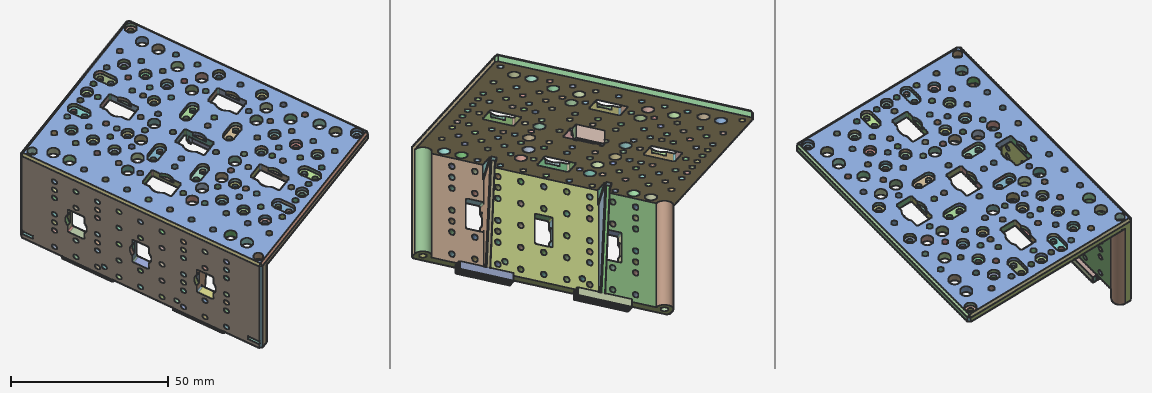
import cadquery as cq
import math

LENGTH = 90.0
DEPTH = 66.0
HEIGHT = 44.0
THICKNESS = 3.0
EDGE_CHAMFER = 0.8
OVERLAP = 0.9

HALF_PITCH = 8.0 / 2
SMALL_HOLE = 2.0
LARGE_HOLE = 4.0
BORE_DIAMETER = 4.0
BORE_DEPTH = THICKNESS / 2

WINDOW_LENGTH = 11.0
WINDOW_WIDTH = 6.2
WINDOW_CORNER = 0.5
RECESS_DIAMETER = 8.0

TONGUE_LENGTH = 19.2
TONGUE_HEIGHT = 3.1
TONGUE_CENTRE_X = 20.6
TONGUE_FRONT = 1.3
TONGUE_BACK = 4.6
TONGUE_CHAMFER = 0.3

CORNER_INSET = 2.9
COLUMN_RADIUS = CORNER_INSET
COLUMN_HOLE = 2.4
COLUMN_BORE = 3.1
NUT_WIDTH = 4.1
NUT_HEIGHT = 1.35
NUT_ABOVE_WALL_FOOT = 2.6

RIB_CENTRE_X = 5 * HALF_PITCH
RIB_THICKNESS = 1.8
RIB_TOP_REACH = 9.1
RIB_TOP_BEVEL = 0.8
RIB_EDGE_CHAMFER = 0.4
ROOT_THICKNESS = 2.5
ROOT_REACH = 8.2

CLIP_WIDTH = 10.0
CLIP_WALL = 1.0
CLIP_DEPTH = 3.0
CLIP_DROP = 4.9
CLIP_STRAIGHT = 1.8
CLIP_FOOT_SETBACK = 1.3

FRONT = -DEPTH / 2
WALL_BACK = FRONT + THICKNESS
WALL_FOOT = -HEIGHT + TONGUE_HEIGHT
WALL_GRID_Z = -HEIGHT / 2
CORNER_X = LENGTH / 2 - CORNER_INSET
CORNER_Y = DEPTH / 2 - CORNER_INSET

PLATE_ROWS = {
    7: (0, 2, 4, 6),
    5: (2, 4, 6, 8, 10),
    4: (5, 7, 9),
    3: (0, 2, 4, 6, 8, 10),
    2: (0, 2, 5, 6, 7, 9, 10),
    1: (4, 10),
    0: (2, 5, 9, 10),
}
BORED_ROWS = {4: (5, 7, 9), 2: (5,), 0: (10,)}
BACK_BORED_COLUMN, BACK_BORED_ROW = 2, 7

WALL_ROWS = {
    4: (0, 2, 4, 6, 8),
    3: (4, 8),
    2: (0, 2, 4, 6, 8),
    0: (2, 4, 8),
    -1: (4, 8),
    -2: (0, 2, 4, 6, 8),
    -4: (0, 2, 4, 6, 8),
}
EXTRA_WALL_HOLE = (13.5, -14.5)

LARGE_STEP = 6.0
LARGE_CORNER_X = 9 * HALF_PITCH
LARGE_CORNER_Y = 27.1
LARGE_INNER_X = 3 * HALF_PITCH
LARGE_BACK_Y = 24.1
LARGE_FRONT_Y = -15.0
LARGE_SIDE_X = 15.0
LARGE_OUTER_X = 21.1
LARGE_HOLE_POINTS = [
    (LARGE_CORNER_X, LARGE_CORNER_Y),
    (LARGE_CORNER_X - LARGE_STEP, LARGE_CORNER_Y),
    (LARGE_CORNER_X, -LARGE_CORNER_Y),
    (LARGE_CORNER_X - LARGE_STEP, -LARGE_CORNER_Y),
    (LARGE_INNER_X, LARGE_BACK_Y),
    (LARGE_INNER_X, LARGE_BACK_Y - LARGE_STEP),
    (LARGE_INNER_X, LARGE_FRONT_Y),
    (LARGE_INNER_X, LARGE_FRONT_Y - LARGE_STEP),
    (LARGE_OUTER_X, LARGE_BACK_Y),
    (LARGE_SIDE_X, 0),
    (LARGE_SIDE_X, -2 * HALF_PITCH),
]


def mirrored(points, signs=((1, 1), (-1, 1))):
    """Every point with each pair of signs, without repeating points that lie on an axis."""
    return sorted({(sx * x + 0.0, sy * y + 0.0) for x, y in points for sx, sy in signs})


def grid_points(rows):
    return [(column * HALF_PITCH, row * HALF_PITCH) for row, columns in rows.items() for column in columns]


def four_way(points):
    return mirrored(points, ((1, 1), (-1, 1), (1, -1), (-1, -1)))


def from_top():
    """Sketch plane on the plate's top face; extrusions with a negative length go down."""
    return cq.Workplane("XY")


def from_front():
    """Sketch plane on the wall's outer face, centred on its grid; negative lengths go inward."""
    return cq.Workplane("XZ", origin=(0, FRONT, WALL_GRID_Z))


def window_cutter(plane, points, size, corner_edges):
    """Through windows of the given size, each with its round recess in the outer face."""
    windows = plane().pushPoints(points).rect(*size).extrude(-(THICKNESS + OVERLAP))
    windows = windows.edges(corner_edges).fillet(WINDOW_CORNER)
    recesses = plane().pushPoints(points).circle(RECESS_DIAMETER / 2).extrude(-BORE_DEPTH)
    return windows.union(recesses)


def side_profile(points, width, centre_x):
    """Prism of a (Y, Z) outline, centred on centre_x."""
    return cq.Workplane("YZ", origin=(centre_x, 0, 0)).polyline(points).close().extrude(width / 2, both=True)


def shell():
    """Plate and wall with chamfered outer edges."""
    block = from_top().rect(LENGTH, DEPTH).extrude(WALL_FOOT)
    block = block.edges("|Z or >Z").chamfer(EDGE_CHAMFER)
    hollow = cq.Workplane("XY").box(LENGTH + 2 * OVERLAP, DEPTH, -WALL_FOOT, centered=(True, False, False))
    return block.cut(hollow.translate((0, WALL_BACK, WALL_FOOT - THICKNESS)))


def columns():
    """Round columns behind the wall's ends, rooted inside the plate."""
    root = from_top().workplane(offset=-THICKNESS / 2)
    circles = root.pushPoints(mirrored([(CORNER_X, -CORNER_Y)])).circle(COLUMN_RADIUS)
    return circles.extrude(WALL_FOOT + THICKNESS / 2)


def rib_root(centre_x):
    """Thicker 45-degree web at the top of a rib, between the plate and the wall."""
    embedded_y = FRONT + THICKNESS / 2
    tip_y = FRONT + ROOT_REACH
    low_z = -THICKNESS - (tip_y - embedded_y)
    outline = [(embedded_y, -THICKNESS), (tip_y, -THICKNESS), (embedded_y, low_z)]
    return side_profile(outline, ROOT_THICKNESS, centre_x)


def rib(centre_x):
    """Tapered rib from the plate down to the back of the tongue."""
    bevel_y = FRONT + RIB_TOP_REACH - RIB_TOP_BEVEL
    outline = [
        (WALL_BACK, -THICKNESS),
        (FRONT + RIB_TOP_REACH, -THICKNESS),
        (bevel_y, -THICKNESS - RIB_TOP_BEVEL),
        (FRONT + TONGUE_BACK, WALL_FOOT),
        (WALL_BACK, WALL_FOOT),
    ]
    body = side_profile(outline, RIB_THICKNESS, centre_x)
    taper_middle = (centre_x, (bevel_y + FRONT + TONGUE_BACK) / 2, (WALL_FOOT - THICKNESS) / 2)
    taper_face = body.faces(cq.selectors.NearestToPointSelector(taper_middle))
    return taper_face.edges("not |X").chamfer(RIB_EDGE_CHAMFER)


def tongue(centre_x):
    """Two leaves back to back, each with chamfered ends and foot."""
    leaf_thickness = (TONGUE_BACK - TONGUE_FRONT) / 2
    leaf = cq.Workplane("XY").box(TONGUE_LENGTH, leaf_thickness, TONGUE_HEIGHT, centered=(True, False, False))
    leaf = leaf.edges("|Z or <Z").chamfer(TONGUE_CHAMFER)
    front_leaf = leaf.translate((centre_x, FRONT + TONGUE_FRONT, -HEIGHT))
    return front_leaf.union(front_leaf.translate((0, leaf_thickness, 0)))


def clip():
    """Back wall with two ears whose front edges slope back towards the foot."""
    front_y = WINDOW_WIDTH / 2
    back_y = front_y + CLIP_DEPTH
    foot_z = -THICKNESS - CLIP_DROP
    outline = [
        (front_y, -THICKNESS),
        (back_y, -THICKNESS),
        (back_y, foot_z),
        (front_y + CLIP_FOOT_SETBACK, foot_z),
        (front_y, -THICKNESS - CLIP_STRAIGHT),
    ]
    channel_size = (CLIP_WIDTH - 2 * CLIP_WALL, CLIP_DEPTH - CLIP_WALL, CLIP_DROP)
    channel = cq.Workplane("XY").box(*channel_size, centered=(True, False, False))
    return side_profile(outline, CLIP_WIDTH, 0).cut(channel.translate((0, front_y, foot_z)))


def plate_cuts():
    through = -(THICKNESS + OVERLAP)
    bored = four_way(grid_points(BORED_ROWS))
    bored += mirrored([(BACK_BORED_COLUMN * HALF_PITCH, BACK_BORED_ROW * HALF_PITCH)])
    back_corners = mirrored([(CORNER_X, CORNER_Y)])
    small = four_way(grid_points(PLATE_ROWS)) + back_corners
    slot_length = BORE_DIAMETER + HALF_PITCH
    end_slots = four_way([(9.5 * HALF_PITCH, 2 * HALF_PITCH)])
    middle_slots = four_way([(2 * HALF_PITCH, 2.5 * HALF_PITCH)])
    windows = four_way([(0, 0), (0, 5 * HALF_PITCH), (7 * HALF_PITCH, 0)])
    return [
        from_top().pushPoints(small).circle(SMALL_HOLE / 2).extrude(through),
        from_top().pushPoints(mirrored(LARGE_HOLE_POINTS)).circle(LARGE_HOLE / 2).extrude(through),
        from_top().pushPoints(bored + back_corners).circle(BORE_DIAMETER / 2).extrude(-BORE_DEPTH),
        from_top().pushPoints(end_slots).slot2D(slot_length, BORE_DIAMETER).extrude(-BORE_DEPTH),
        from_top().pushPoints(middle_slots).slot2D(slot_length, BORE_DIAMETER, 90).extrude(-BORE_DEPTH),
        window_cutter(from_top, windows, (WINDOW_LENGTH, WINDOW_WIDTH), "|Z"),
    ]


def wall_cuts():
    holes = mirrored(grid_points(WALL_ROWS) + [EXTRA_WALL_HOLE])
    windows = mirrored([(0, 0), (6 * HALF_PITCH, 0)])
    return [
        from_front().pushPoints(holes).circle(SMALL_HOLE / 2).extrude(-THICKNESS),
        window_cutter(from_front, windows, (WINDOW_WIDTH, WINDOW_LENGTH), "|Y"),
    ]


def nut_slot(axis_x):
    """Slot from the wall's outer face, ending in the two inner flats of a hexagonal nut."""
    half_width = NUT_WIDTH / 2
    flat_end_y = -CORNER_Y + half_width * math.tan(math.pi / 6)
    point_y = -CORNER_Y + half_width / math.cos(math.pi / 6)
    outline = [
        (axis_x - half_width, FRONT),
        (axis_x + half_width, FRONT),
        (axis_x + half_width, flat_end_y),
        (axis_x, point_y),
        (axis_x - half_width, flat_end_y),
    ]
    floor_z = WALL_FOOT + NUT_ABOVE_WALL_FOOT - NUT_HEIGHT / 2
    return cq.Workplane("XY", origin=(0, 0, floor_z)).polyline(outline).close().extrude(NUT_HEIGHT)


def column_cuts():
    """Screw hole with a wider bore in the plate, and a nut slot, for each column."""
    axes = mirrored([(CORNER_X, -CORNER_Y)])
    return [
        from_top().pushPoints(axes).circle(COLUMN_HOLE / 2).extrude(WALL_FOOT),
        from_top().pushPoints(axes).circle(COLUMN_BORE / 2).extrude(-THICKNESS),
        nut_slot(-CORNER_X),
        nut_slot(CORNER_X),
    ]


result = shell().union(columns()).union(clip())
for cutter in plate_cuts() + wall_cuts():
    result = result.cut(cutter)
for side in (-1, 1):
    result = result.union(rib(side * RIB_CENTRE_X))
    result = result.union(rib_root(side * RIB_CENTRE_X))
    result = result.union(tongue(side * TONGUE_CENTRE_X))
for cutter in column_cuts():
    result = result.cut(cutter)